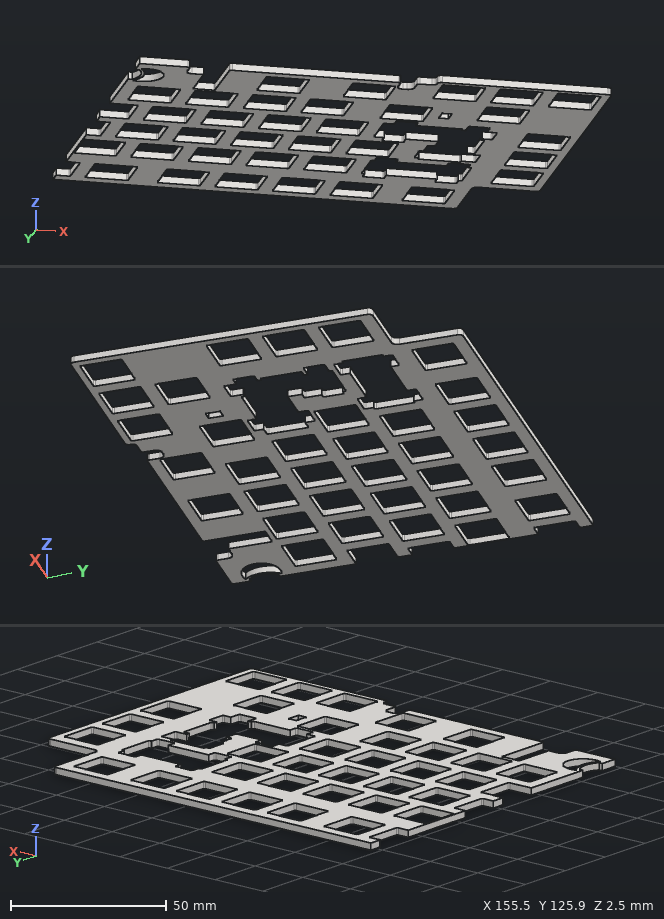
import cadquery as cq


LENGTH = 155.46
WIDTH = 125.88
THICKNESS = 2.5
LEFT = -LENGTH / 2
RIGHT = LENGTH / 2
TOP = WIDTH / 2
BOTTOM = -WIDTH / 2
STEP_X = 55.75
STEP_Y = 39.65
LOWER_EDGE_Y = -59.76
LOWER_STEP_X = 20.2
PLATE_RADIUS = 1.5
SHOULDER_RADIUS = 2.0
LOWER_STEP_RADIUS = 1.3
OVERRUN = 5.0

UNIT = 19.05
KEY_SIZE = 14.08
HALF_KEY = KEY_SIZE / 2
CORNER_RADIUS = 0.5
RIGHT_COLUMN_X = RIGHT - 10.2
ROW_6_Y = -48.58
ROW_5_Y = ROW_6_Y + UNIT
ROW_4_Y = ROW_5_Y + UNIT
ROW_3_Y = ROW_4_Y + UNIT
ROW_2_Y = ROW_3_Y + UNIT
ROW_1_Y = ROW_2_Y + 23.65
UP_ARROW_Y = ROW_5_Y - UNIT / 4
ARROW_ROW_Y = ROW_6_Y - UNIT / 4

KEY_ROWS = [
    (ROW_1_Y, [-7.75, -6.75, -5.5, -4.5, -3.5, -2.5, -1.25]),
    (ROW_2_Y, [-6.25, -5.25, -4.25, -3.25, 0]),
    (ROW_3_Y, [-7.75, -6.75, -5.75, -4.75, -3.75, -2.75, -1.5, 0]),
    (ROW_4_Y, [-7.5, -6.5, -5.5, -4.5, -3.5, 0]),
    (ROW_5_Y, [-7, -6, -5, -4, -2.625]),
    (ROW_6_Y, [-5, -3.5]),
    (UP_ARROW_Y, [-1]),
    (ARROW_ROW_Y, [-2, -1, 0]),
]

EDGE_KEY_UNITS = -7.25
EDGE_WALL = 0.5

BACKSPACE_UNITS = (-2.25, -1.25)
BACKSPACE_TRIM = 0.4
BACKSPACE_CENTER_UNITS = sum(BACKSPACE_UNITS) / 2
WIDE_ENTER_UNITS = -1.875
SPLIT_KEY_UNITS = -2.5
TALL_ENTER_UNITS = -1.375
TALL_ENTER_Y = (ROW_3_Y + ROW_4_Y) / 2
STABILIZER_OFFSET = 11.94
STABILIZER_WIDTH = 7.1
LOWER_REACH = 10.2
BACKSPACE_UPPER_REACH = 9.7
WIDE_ENTER_UPPER_REACH = 10.4
TALL_ENTER_LEFT_REACH = 10.9
TALL_ENTER_RIGHT_REACH = 9.3

SPACE_SLOT_X = -51.5
SPACE_SLOT_TOP = -38.5
SPACE_SLOT_RADIUS = 0.3
NOTCH_WIDTH = 5.4
NOTCH_TOP = -53.4
NOTCH_RADIUS = 2.0
LEFT_NOTCH_X = -58.3
RIGHT_NOTCH_X = 11.4
MOUTH_RADIUS = 0.8

HOLE_X = -73.7
HOLE_Y = -48.35
HOLE_RADIUS = 6.45
WALL_CENTER_X = LEFT - 5.4
WALL_OUTER_RADIUS = 9.5
WALL_THICKNESS = 1.1
MOUTH_HEIGHT = 9.8

WINDOW_X = 30.4
WINDOW_WIDTH = 3.2
WINDOW_HEIGHT = 4.9


def grid_x(units):
    return RIGHT_COLUMN_X + units * UNIT


def block(x0, x1, y0, y1, radius=CORNER_RADIUS):
    """Plate-thick block between the given sides, with rounded upright edges."""
    solid = cq.Workplane("XY").box(x1 - x0, y1 - y0, THICKNESS)
    if radius > 0:
        solid = solid.edges("|Z").fillet(radius)
    return solid.translate(((x0 + x1) / 2, (y0 + y1) / 2, 0))


def disc(x, y, radius):
    return cq.Workplane("XY").cylinder(THICKNESS, radius).translate((x, y, 0))


def key(x, y):
    return block(x - HALF_KEY, x + HALF_KEY, y - HALF_KEY, y + HALF_KEY)


def round_corner(body, x, y, radius):
    """Fillets the upright edge nearest to the given corner."""
    corner = cq.selectors.NearestToPointSelector((x, y, 0))
    return body.edges("|Z").edges(corner).fillet(radius)


def plate():
    """Plate outline with its notched lower edge, corners rounded except at the left edge."""
    slot_right = SPACE_SLOT_X + STABILIZER_WIDTH / 2
    left_notch_left = LEFT_NOTCH_X - NOTCH_WIDTH / 2
    points = [
        (LEFT, LOWER_EDGE_Y),
        (LOWER_STEP_X, LOWER_EDGE_Y),
        (LOWER_STEP_X, BOTTOM),
        (RIGHT, BOTTOM),
        (RIGHT, STEP_Y),
        (STEP_X, STEP_Y),
        (STEP_X, TOP),
        (LEFT, TOP),
    ]
    body = cq.Workplane("XY").polyline(points).close().extrude(THICKNESS / 2, both=True)
    body = round_corner(body, STEP_X, STEP_Y, SHOULDER_RADIUS)
    for y in (LOWER_EDGE_Y, BOTTOM):
        body = round_corner(body, LOWER_STEP_X, y, LOWER_STEP_RADIUS)
    for x, y in ((RIGHT, BOTTOM), (RIGHT, STEP_Y), (STEP_X, TOP)):
        body = round_corner(body, x, y, PLATE_RADIUS)
    for cutout in lower_edge_cutouts():
        body = body.cut(cutout)
    mouth_corners = [
        left_notch_left,
        slot_right,
        RIGHT_NOTCH_X - NOTCH_WIDTH / 2,
        RIGHT_NOTCH_X + NOTCH_WIDTH / 2,
    ]
    for x in mouth_corners:
        body = round_corner(body, x, LOWER_EDGE_Y, MOUTH_RADIUS)
    return body


def lower_edge_cutouts():
    """Space bar slot with the left screw notch beside it, and the right screw notch."""
    half_slot = STABILIZER_WIDTH / 2
    half_notch = NOTCH_WIDTH / 2
    end = BOTTOM - OVERRUN
    return [
        block(SPACE_SLOT_X - half_slot, SPACE_SLOT_X + half_slot, end, SPACE_SLOT_TOP, SPACE_SLOT_RADIUS),
        block(LEFT_NOTCH_X - half_notch, SPACE_SLOT_X, end, NOTCH_TOP, NOTCH_RADIUS),
        block(RIGHT_NOTCH_X - half_notch, RIGHT_NOTCH_X + half_notch, end, NOTCH_TOP, NOTCH_RADIUS),
    ]


def key_cutouts():
    cutouts = [key(grid_x(units), y) for y, row in KEY_ROWS for units in row]
    edge_key_right = grid_x(EDGE_KEY_UNITS) + HALF_KEY
    cutouts.append(block(LEFT + EDGE_WALL, edge_key_right, ROW_2_Y - HALF_KEY, ROW_2_Y + HALF_KEY))
    return cutouts


def stabilizer_pair(x, y, upper_reach):
    """Two upright stabilizer slots, left and right of a wide key."""
    half = STABILIZER_WIDTH / 2
    centers = [x - STABILIZER_OFFSET, x + STABILIZER_OFFSET]
    return [block(c - half, c + half, y - LOWER_REACH, y + upper_reach) for c in centers]


def backspace_cutouts():
    left = grid_x(BACKSPACE_UNITS[0]) - HALF_KEY
    right = grid_x(BACKSPACE_UNITS[1]) + HALF_KEY
    slot = block(left, right, ROW_2_Y - HALF_KEY, ROW_2_Y + HALF_KEY - BACKSPACE_TRIM)
    return [slot] + stabilizer_pair(grid_x(BACKSPACE_CENTER_UNITS), ROW_2_Y, BACKSPACE_UPPER_REACH)


def wide_enter_cutouts():
    left = grid_x(SPLIT_KEY_UNITS) - HALF_KEY
    right = grid_x(WIDE_ENTER_UNITS) + HALF_KEY
    slot = block(left, right, ROW_4_Y - HALF_KEY, ROW_4_Y + HALF_KEY)
    return [slot] + stabilizer_pair(grid_x(WIDE_ENTER_UNITS), ROW_4_Y, WIDE_ENTER_UPPER_REACH)


def tall_enter_cutouts():
    """Tall enter key with lying stabilizer slots above and below it."""
    x = grid_x(TALL_ENTER_UNITS)
    half = STABILIZER_WIDTH / 2
    left = x - TALL_ENTER_LEFT_REACH
    right = x + TALL_ENTER_RIGHT_REACH
    cutouts = [key(x, TALL_ENTER_Y)]
    for y in (TALL_ENTER_Y - STABILIZER_OFFSET, TALL_ENTER_Y + STABILIZER_OFFSET):
        cutouts.append(block(left, right, y - half, y + half))
    cutouts.append(block(x - half, x + half, TALL_ENTER_Y - STABILIZER_OFFSET, TALL_ENTER_Y, 0))
    return cutouts


def left_edge_cutouts():
    """Round hole and open mouth, parted by a thin curved wall."""
    hole = disc(HOLE_X, HOLE_Y, HOLE_RADIUS).cut(disc(WALL_CENTER_X, HOLE_Y, WALL_OUTER_RADIUS))
    half = MOUTH_HEIGHT / 2
    band = block(LEFT - OVERRUN, HOLE_X + HOLE_RADIUS, HOLE_Y - half, HOLE_Y + half, 0)
    mouth = disc(WALL_CENTER_X, HOLE_Y, WALL_OUTER_RADIUS - WALL_THICKNESS).intersect(band)
    return [hole, mouth]


def window_cutout():
    half_x = WINDOW_WIDTH / 2
    half_y = WINDOW_HEIGHT / 2
    return block(WINDOW_X - half_x, WINDOW_X + half_x, ROW_5_Y - half_y, ROW_5_Y + half_y, 0)


openings = key_cutouts() + backspace_cutouts() + wide_enter_cutouts() + tall_enter_cutouts()
openings += left_edge_cutouts() + [window_cutout()]

result = plate()
for opening in openings:
    result = result.cut(opening)